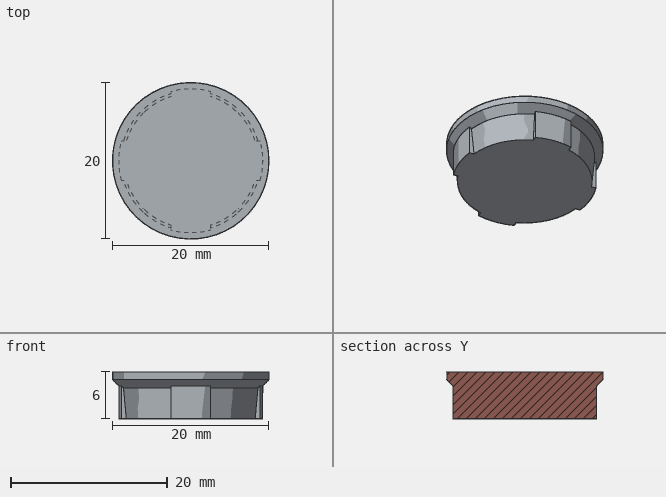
import cadquery as cq
import math

total_height = 6.0
cap_radius = 10.0
rim_height = 1.0
plug_bottom_radius = 8.6
plug_draft_angle = 5.0

pad_count = 4
pad_radius = 9.2
pad_width = 5.0

rim_bottom = total_height - rim_height

draft_slope = math.tan(math.radians(plug_draft_angle))
plug_top = (plug_bottom_radius - cap_radius + rim_bottom) / (1 - draft_slope)
plug_top_radius = plug_bottom_radius + plug_top * draft_slope

pad_top = rim_bottom - (cap_radius - pad_radius)


def make_cap_and_plug():
    """Revolve the half section about the Z axis."""
    return (
        cq.Workplane("XZ")
        .moveTo(0, 0)
        .lineTo(plug_bottom_radius, 0)
        .lineTo(plug_top_radius, plug_top)
        .lineTo(cap_radius, rim_bottom)
        .lineTo(cap_radius, total_height)
        .lineTo(0, total_height)
        .close()
        .revolve(360, (0, 0, 0), (0, 1, 0))
    )


def make_pad(angle):
    """A parallel-sided pad with a round outer face, pointing along the given angle."""
    column = cq.Workplane("XY").circle(pad_radius).extrude(pad_top)
    strip = cq.Workplane("XY").box(pad_radius * 2, pad_width, pad_top, centered=(False, True, False))
    return column.intersect(strip).rotate((0, 0, 0), (0, 0, 1), angle)


result = make_cap_and_plug()
for index in range(pad_count):
    result = result.union(make_pad(index * 360 / pad_count))